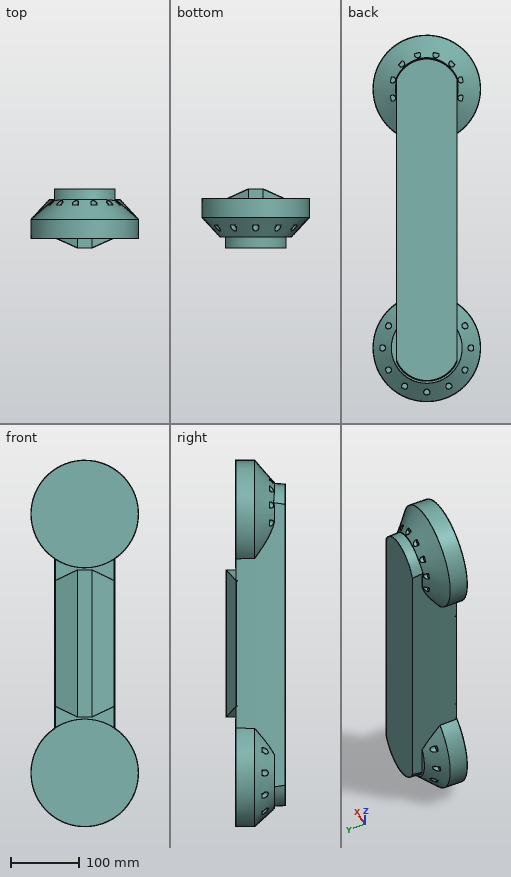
import cadquery as cq
import math

CONE_BACK = 16.0
PARTING = 45.0
BEVEL_START = 70.0
ARM_FRONT = 72.5
DISC_FRONT = 73.0
RIDGE_FRONT = 87.0

JOINT_SPACING = 380.0
DISC_RADIUS = 79.0
UPPER_CONE_RADIUS = 46.0
LOWER_CONE_RADIUS = 52.0
JOINT_Z = JOINT_SPACING / 2

RECESS_COUNT = 12
RECESS_DIAMETER = 9.0
UPPER_RECESS_CIRCLE = 52.0
UPPER_RECESS_FLOOR = 23.5
UPPER_RECESS_PHASE = 180.0 / RECESS_COUNT
LOWER_RECESS_CIRCLE = 65.0
LOWER_RECESS_FLOOR = 34.0
LOWER_RECESS_PHASE = 0.0

ARM_WIDTH = 89.0
ARM_BEVEL_WIDTH = 87.5
ARM_FRONT_WIDTH = 86.5
END_RADIUS = 48.0
END_TAPER = 3.5
UPPER_END_Z = JOINT_Z - 4.0
LOWER_END_Z = -JOINT_Z

RIDGE_TOP_WIDTH = 21.0
RIDGE_EDGE_LEVEL = 72.0
RIDGE_LENGTH = 216.0
RIDGE_SIDE_LENGTH = 184.0


def level_plane(level):
    """Sketch plane at a depth level, facing forward, with sketch x = X and sketch y = Z."""
    return cq.Workplane("XZ", origin=(0, -level, 0))


def joint(center_z, cone_radius):
    """Disc with a cone narrowing toward the back."""
    cone = (
        level_plane(CONE_BACK).center(0, center_z).circle(cone_radius)
        .workplane(offset=PARTING - CONE_BACK).circle(DISC_RADIUS)
        .loft(ruled=True)
    )
    disc = level_plane(PARTING).center(0, center_z).circle(DISC_RADIUS).extrude(DISC_FRONT - PARTING)
    return cone.union(disc)


def recesses(center_z, circle_radius, phase, floor):
    """Ring of flat-bottomed recesses, open toward the back of a cone."""
    return (
        level_plane(CONE_BACK).center(0, center_z)
        .polarArray(circle_radius, phase, 360, RECESS_COUNT)
        .circle(RECESS_DIAMETER / 2)
        .extrude(floor - CONE_BACK)
    )


def rounded_end(center_z):
    """Tapered round that forms one end of the arm, from the back face to the parting plane."""
    radius_gain = PARTING * math.tan(math.radians(END_TAPER))
    return (
        level_plane(0).center(0, center_z).circle(END_RADIUS)
        .workplane(offset=PARTING).circle(END_RADIUS + radius_gain)
        .loft(ruled=True)
    )


def arm_back():
    """Flat-sided bar whose rounded ends are trimmed to the bar width."""
    bar_length = UPPER_END_Z - LOWER_END_Z
    middle_z = (UPPER_END_Z + LOWER_END_Z) / 2
    bar = level_plane(0).center(0, middle_z).rect(ARM_WIDTH, bar_length).extrude(PARTING)
    trim = level_plane(0).rect(ARM_WIDTH, JOINT_SPACING + 2 * DISC_RADIUS).extrude(PARTING)
    ends = rounded_end(UPPER_END_Z).union(rounded_end(LOWER_END_Z)).intersect(trim)
    return bar.union(ends)


def arm_front():
    """Front part of the bar between the joints, its sides drawn in toward the bevels."""
    half_back = ARM_WIDTH / 2
    half_bevel = ARM_BEVEL_WIDTH / 2
    half_front = ARM_FRONT_WIDTH / 2
    section = [
        (-half_back, -PARTING),
        (half_back, -PARTING),
        (half_bevel, -BEVEL_START),
        (half_front, -ARM_FRONT),
        (-half_front, -ARM_FRONT),
        (-half_bevel, -BEVEL_START),
    ]
    return cq.Workplane("XY").polyline(section).close().extrude(JOINT_Z, both=True)


def ridge():
    """Trapezoid rib whose ends are pointed back along the flanks."""
    half_arm = ARM_BEVEL_WIDTH / 2
    half_top = RIDGE_TOP_WIDTH / 2
    half_length = RIDGE_LENGTH / 2
    half_side = RIDGE_SIDE_LENGTH / 2
    section = [
        (-half_arm, -BEVEL_START),
        (half_arm, -BEVEL_START),
        (half_arm, -RIDGE_EDGE_LEVEL),
        (half_top, -RIDGE_FRONT),
        (-half_top, -RIDGE_FRONT),
        (-half_arm, -RIDGE_EDGE_LEVEL),
    ]
    outline = [
        (-half_top, half_length),
        (half_top, half_length),
        (half_arm, half_side),
        (half_arm, -half_side),
        (half_top, -half_length),
        (-half_top, -half_length),
        (-half_arm, -half_side),
        (-half_arm, half_side),
    ]
    rib = cq.Workplane("XY").polyline(section).close().extrude(half_length, both=True)
    ends = level_plane(BEVEL_START).polyline(outline).close().extrude(RIDGE_FRONT - BEVEL_START)
    return rib.intersect(ends)


upper_joint = joint(JOINT_Z, UPPER_CONE_RADIUS).cut(
    recesses(JOINT_Z, UPPER_RECESS_CIRCLE, UPPER_RECESS_PHASE, UPPER_RECESS_FLOOR)
)
lower_joint = joint(-JOINT_Z, LOWER_CONE_RADIUS).cut(
    recesses(-JOINT_Z, LOWER_RECESS_CIRCLE, LOWER_RECESS_PHASE, LOWER_RECESS_FLOOR)
)

result = arm_back().union(arm_front()).union(ridge()).union(upper_joint).union(lower_joint)